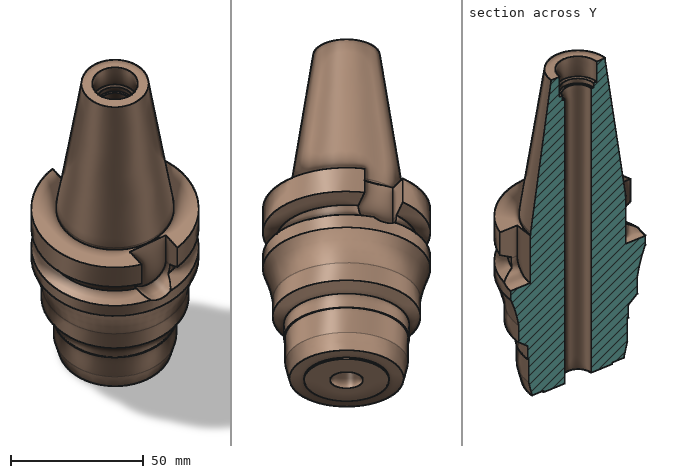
import cadquery as cq

TOTAL_HEIGHT = 140.4
FLANGE_RADIUS = 31.52
GROOVE_RADIUS = 26.5
COLLAR_RADIUS = 27.8
NECK_RADIUS = 23.6
NOSE_RADIUS = 23.2
NOSE_TIP_RADIUS = 21.5
LIP_RADIUS = 16.0
TAPER_BASE_RADIUS = 22.2
TAPER_TOP_RADIUS = 12.6

LIP_TOP = 0.7
NOSE_CONE_TOP = 7.6
NOSE_TOP = 18.1
NECK_TOP = 24.0
COLLAR_BOTTOM = 27.4
COLLAR_TOP = 35.1
LOWER_FLANGE_BOTTOM = 48.2
LOWER_FLANGE_TOP = 53.6
GROOVE_BOTTOM = 56.6
GROOVE_TOP = 60.7
UPPER_FLANGE_BOTTOM = 63.7
UPPER_FLANGE_TOP = 74.0
TAPER_BASE = 75.3

FLARE_SAG = 0.4

THROUGH_RADIUS = 6.2
MIDDLE_BORE_RADIUS = 7.2
MIDDLE_BORE_DEPTH = 11.2
TOP_BORE_RADIUS = 8.5
TOP_BORE_DEPTH = 9.1

SLOT_RADIUS = 8.07
SLOT_FLOOR_X = 22.5
SLOT_CENTRE_Z = 60.4


def make_body():
    """Revolve the outer profile, drawn as radius and height, about the Z axis."""
    flare_mid = (
        (COLLAR_RADIUS + FLANGE_RADIUS) / 2 - FLARE_SAG,
        (COLLAR_TOP + LOWER_FLANGE_BOTTOM) / 2,
    )
    return (
        cq.Workplane("XZ")
        .moveTo(0, 0)
        .lineTo(LIP_RADIUS, 0)
        .lineTo(LIP_RADIUS, LIP_TOP)
        .lineTo(NOSE_TIP_RADIUS, LIP_TOP)
        .lineTo(NOSE_RADIUS, NOSE_CONE_TOP)
        .lineTo(NOSE_RADIUS, NOSE_TOP)
        .lineTo(NECK_RADIUS, NOSE_TOP)
        .lineTo(NECK_RADIUS, NECK_TOP)
        .lineTo(COLLAR_RADIUS, COLLAR_BOTTOM)
        .lineTo(COLLAR_RADIUS, COLLAR_TOP)
        .threePointArc(flare_mid, (FLANGE_RADIUS, LOWER_FLANGE_BOTTOM))
        .lineTo(FLANGE_RADIUS, LOWER_FLANGE_TOP)
        .lineTo(GROOVE_RADIUS, GROOVE_BOTTOM)
        .lineTo(GROOVE_RADIUS, GROOVE_TOP)
        .lineTo(FLANGE_RADIUS, UPPER_FLANGE_BOTTOM)
        .lineTo(FLANGE_RADIUS, UPPER_FLANGE_TOP)
        .lineTo(TAPER_BASE_RADIUS, UPPER_FLANGE_TOP)
        .lineTo(TAPER_BASE_RADIUS, TAPER_BASE)
        .lineTo(TAPER_TOP_RADIUS, TOTAL_HEIGHT)
        .lineTo(0, TOTAL_HEIGHT)
        .close()
        .revolve(360, (0, 0, 0), (0, 1, 0))
    )


def make_top_bore(radius, depth):
    """Cylinder reaching down from the small end of the taper."""
    return cq.Workplane("XY").workplane(offset=TOTAL_HEIGHT - depth).circle(radius).extrude(depth)


def make_drive_slot():
    """Round-bottomed slot on the +X side, open through the top of the flange."""
    return (
        cq.Workplane("YZ")
        .workplane(offset=SLOT_FLOOR_X)
        .moveTo(-SLOT_RADIUS, UPPER_FLANGE_TOP)
        .lineTo(-SLOT_RADIUS, SLOT_CENTRE_Z)
        .threePointArc((0, SLOT_CENTRE_Z - SLOT_RADIUS), (SLOT_RADIUS, SLOT_CENTRE_Z))
        .lineTo(SLOT_RADIUS, UPPER_FLANGE_TOP)
        .close()
        .extrude(FLANGE_RADIUS)
    )


result = make_body()

for bore_radius, bore_depth in (
    (THROUGH_RADIUS, TOTAL_HEIGHT),
    (MIDDLE_BORE_RADIUS, MIDDLE_BORE_DEPTH),
    (TOP_BORE_RADIUS, TOP_BORE_DEPTH),
):
    result = result.cut(make_top_bore(bore_radius, bore_depth))

for slot_angle in (0, 180):
    result = result.cut(make_drive_slot().rotate((0, 0, 0), (0, 0, 1), slot_angle))